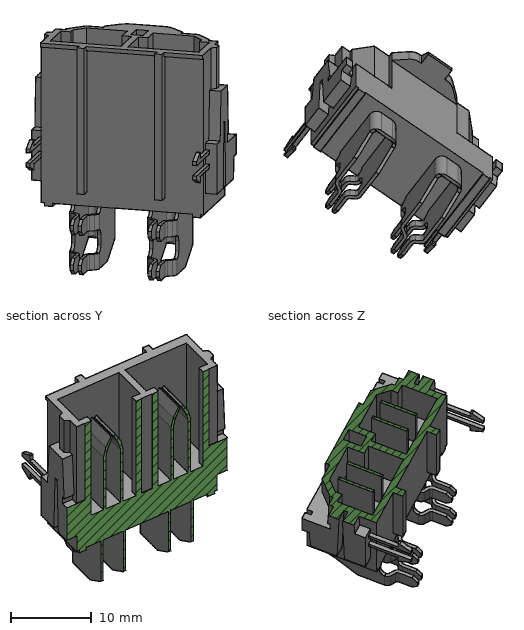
import cadquery as cq


body_half_width = 10.45
body_depth = 9.47
body_height = 20.53
overlap = 0.3

base_height = 7.95
shoulder_y = 6.52
shoulder_x = 9.2
key_chamfer_y = 6.92
key_back_y = 8.9
key_chamfer = key_back_y - key_chamfer_y
neck_half_width = 4.98

pitch = 10.0
floor_z = 5.0
cavity_inner_x = 0.45
cavity_outer_x = 9.52
cavity_front_y = 0.95
cavity_step_y = 5.65
cavity_back_y = 7.95
cavity_key_inner_x = 1.65
cavity_key_outer_x = 8.27
cavity_chamfer = 1.37
pocket_width = 1.55

rim_depth = 0.4
rim_height = 0.51
rib_width = 0.95
rib_depth = 1.32
rib_bottom_z = 1.83
foot_width = 1.05
foot_height = 0.4
foot_inset = 0.4

flange_height = 2.72
flange_back_y = 11.3
flange_corner_x = 2.8
flange_radius = 2.0
hook_half_width = 1.8
hook_tip_y = 12.75
hook_tip_height = 0.8

ear_width = 23.82
ear_bottom_z = 2.55
ear_front_y = 0.83
ear_shoulder_z = 8.98
ear_top_z = 15.27
ear_top_front_y = 2.63
ear_top_back_y = 5.6
ear_taper = 0.37
ear_skirt_z = 5.4
ear_skirt_top_y = 8.47
ear_skirt_bottom_y = 8.27
ear_slot_top_z = 10.93
ear_slot_middle_y = 4.18
ear_slot_top_width = 0.45
ear_slot_bottom_width = 1.0

bump_height = 0.63
bump_root_y = (3.3, 5.03)
bump_crest_y = (3.65, 4.7)

clip_thickness = 0.51
clip_mid_z = 6.98
clip_gap = 1.32
clip_arm = 0.51
clip_tip_y = -4.9
barb_back_y = -3.15
barb_crest = 0.25
barb_height = 0.75
clip_notch_depth = 0.8

sheet = 0.43
channel_half_width = 1.9
channel_back_y = 8.47
channel_corner_radius = 0.83
jog_radius = 0.63
prong_offset = 0.51
jog_start_y = 0.17
jog_end_y = -0.55
prong_root_y = 0.51
prong_tip_y = -3.43
prong_height = 2.03
prong_bevel_length = 0.72
prong_bevel_height = 0.65
prong_top_z = -1.0
total_height = 28.6
terminal_bottom_z = body_height - total_height
gap_y = 1.23
gap_radius = 0.85
channel_bottom_z = -6.1
back_wall_bottom_z = -6.3
side_bottom_y = 4.2
side_back_y = 7.45

leaf_front_y = 2.25
leaf_back_y = 7.05
leaf_base_x = 1.5
leaf_base_z = 13.67
leaf_shoulder_x = 1.15
leaf_shoulder_z = 15.1
leaf_tip_x = 0.35
leaf_tip_z = 16.53
leaf_tip_width = 0.3
leaf_tip_drop = 0.2


def prism_z(points, bottom, top):
    """Upright prism from an XY outline."""
    return cq.Workplane("XY").workplane(offset=bottom).polyline(points).close().extrude(top - bottom)


def prism_x(points, x_start, x_end):
    """Prism along X from a YZ outline."""
    return cq.Workplane("YZ").workplane(offset=x_start).polyline(points).close().extrude(x_end - x_start)


def box(x_range, y_range, z_range):
    """Block between two corners."""
    size = [end - start for start, end in (x_range, y_range, z_range)]
    corner = (x_range[0], y_range[0], z_range[0])
    return cq.Workplane("XY").box(*size, centered=False).translate(corner)


def both_sides(shape):
    """The shape together with its mirror image in X = 0."""
    return shape.union(shape.mirror("YZ"))


def housing_block():
    base = box((-body_half_width, body_half_width), (0, body_depth), (0, base_height))
    half_outline = [
        (body_half_width, 0),
        (body_half_width, shoulder_y),
        (shoulder_x, shoulder_y),
        (shoulder_x, key_chamfer_y),
        (shoulder_x - key_chamfer, key_back_y),
        (neck_half_width, key_back_y),
        (neck_half_width, body_depth),
    ]
    outline = half_outline + [(-x, y) for x, y in reversed(half_outline)]
    return base.union(prism_z(outline, base_height, body_height))


def latch():
    bottom = body_height - flange_height
    half_outline = [
        (neck_half_width, body_depth - overlap),
        (neck_half_width, body_depth),
        (flange_corner_x, flange_back_y),
    ]
    outline = half_outline + [(-x, y) for x, y in reversed(half_outline)]
    flange = prism_z(outline, bottom, body_height)
    flange = flange.edges("|Z").edges(">Y").fillet(flange_radius)
    hook_profile = [
        (body_depth, bottom),
        (hook_tip_y, bottom),
        (hook_tip_y, bottom + hook_tip_height),
        (flange_back_y, body_height),
        (body_depth, body_height),
    ]
    return flange.union(prism_x(hook_profile, -hook_half_width, hook_half_width))


def front_details():
    rim = box(
        (-body_half_width, body_half_width),
        (-rim_depth, overlap),
        (body_height - rim_height, body_height),
    )
    rib = box(
        ((pitch - rib_width) / 2, (pitch + rib_width) / 2),
        (-rib_depth, overlap),
        (rib_bottom_z, body_height),
    )
    foot_outer_x = body_half_width - foot_inset
    foot = box((foot_outer_x - foot_width, foot_outer_x), (0, body_depth), (-foot_height, overlap))
    return rim.union(both_sides(rib.union(foot)))


def ear():
    profile = [
        (body_depth, base_height),
        (ear_top_back_y, base_height),
        (ear_top_back_y, ear_shoulder_z),
        (ear_top_back_y + ear_taper, ear_shoulder_z),
        (ear_top_back_y, ear_top_z),
        (ear_top_front_y, ear_top_z),
        (ear_top_front_y - ear_taper, ear_shoulder_z),
        (ear_front_y, ear_shoulder_z),
        (ear_front_y, ear_bottom_z),
        (ear_slot_middle_y - ear_slot_bottom_width / 2, ear_bottom_z),
        (ear_slot_middle_y - ear_slot_top_width / 2, ear_slot_top_z),
        (ear_slot_middle_y + ear_slot_top_width / 2, ear_slot_top_z),
        (ear_slot_middle_y + ear_slot_bottom_width / 2, ear_bottom_z),
        (ear_skirt_bottom_y, ear_bottom_z),
        (ear_skirt_top_y, ear_skirt_z),
        (body_depth, ear_skirt_z),
    ]
    notch = box(
        (body_half_width, body_half_width + clip_thickness),
        (body_depth - clip_notch_depth, body_depth),
        (0, base_height),
    )
    return prism_x(profile, body_half_width - overlap, ear_width / 2).cut(notch)


def key_bump():
    outer_x = body_half_width + bump_height
    outline = [
        (body_half_width - overlap, bump_root_y[0]),
        (body_half_width, bump_root_y[0]),
        (outer_x, bump_crest_y[0]),
        (outer_x, bump_crest_y[1]),
        (body_half_width, bump_root_y[1]),
        (body_half_width - overlap, bump_root_y[1]),
    ]
    return prism_z(outline, ear_slot_top_z, body_height)


def board_clips():
    inner_z = clip_gap / 2
    outer_z = inner_z + clip_arm
    barb_z = outer_z + barb_height
    profile = [
        (ear_front_y + overlap, inner_z),
        (clip_tip_y, inner_z),
        (clip_tip_y, outer_z),
        (barb_back_y - barb_crest, barb_z),
        (barb_back_y, barb_z),
        (barb_back_y, outer_z),
        (ear_front_y + overlap, outer_z),
    ]
    arm = prism_x(profile, body_half_width, body_half_width + clip_thickness)
    return arm.union(arm.mirror("XY")).translate((0, 0, clip_mid_z))


def cavity():
    """Keyed contact cavity on the +X side, narrowed towards the back."""
    outline = [
        (cavity_inner_x, cavity_front_y),
        (cavity_outer_x, cavity_front_y),
        (cavity_outer_x, cavity_step_y),
        (cavity_key_outer_x, cavity_step_y),
        (cavity_key_outer_x, cavity_back_y - cavity_chamfer),
        (cavity_key_outer_x - cavity_chamfer, cavity_back_y),
        (cavity_key_inner_x, cavity_back_y),
        (cavity_key_inner_x, cavity_step_y),
        (cavity_inner_x, cavity_step_y),
    ]
    return prism_z(outline, floor_z, body_height)


def centre_pocket():
    half = pocket_width / 2
    return box((-half, half), (shoulder_y, key_back_y), (floor_z, body_height))


def contact_leaves():
    """Two spring leaves that lean together towards their tips."""
    outer_face = [
        (leaf_base_x, floor_z - overlap),
        (leaf_base_x, leaf_base_z),
        (leaf_shoulder_x, leaf_shoulder_z),
        (leaf_tip_x, leaf_tip_z),
    ]
    inner_face = [
        (leaf_tip_x - leaf_tip_width, leaf_tip_z - leaf_tip_drop),
        (leaf_shoulder_x - sheet, leaf_shoulder_z - leaf_tip_drop),
        (leaf_base_x - sheet, leaf_base_z),
        (leaf_base_x - sheet, floor_z - overlap),
    ]
    profile = outer_face + inner_face
    leaf = cq.Workplane("XZ", origin=(0, leaf_back_y, 0)).polyline(profile).close()
    return both_sides(leaf.extrude(leaf_back_y - leaf_front_y))


def bent_sheet():
    """U channel seen along Z, its sides jogging inwards to the prongs."""
    side_x = channel_half_width - sheet / 2
    corner_y = channel_back_y - sheet / 2
    half_path = [
        (prong_offset, prong_tip_y - overlap),
        (prong_offset, jog_end_y),
        (side_x, jog_start_y),
        (side_x, corner_y),
    ]
    path = half_path + [(-x, y) for x, y in reversed(half_path)]
    middle = cq.Wire.makePolygon([cq.Vector(x, y, terminal_bottom_z) for x, y in path])
    corners = [vertex for vertex in middle.Vertices() if vertex.Y > side_back_y]
    middle = middle.fillet(channel_corner_radius, corners)
    jogs = [vertex for vertex in middle.Vertices() if prong_tip_y < vertex.Y < gap_y]
    middle = middle.fillet(jog_radius, jogs)
    outline = middle.offset2D(sheet / 2)[0]
    return cq.Workplane("XY").add(outline).toPending().extrude(overlap - terminal_bottom_z)


def prong_blank(bottom):
    """Side outline of one prong, bevelled at its tip and running back into the channel."""
    top = bottom + prong_height
    bevel_y = prong_tip_y + prong_bevel_length
    outline = [
        (gap_y + overlap, bottom),
        (bevel_y, bottom),
        (prong_tip_y, bottom + prong_bevel_height),
        (prong_tip_y, top - prong_bevel_height),
        (bevel_y, top),
        (gap_y + overlap, top),
    ]
    return prism_x(outline, -channel_half_width, channel_half_width)


def terminal_side_outline():
    """Side outline of a terminal, as a prism across its full width."""
    upper_bottom_z = prong_top_z - prong_height
    lower_top_z = terminal_bottom_z + prong_height
    x_range = (-channel_half_width, channel_half_width)
    plate_profile = [
        (prong_root_y, overlap),
        (prong_root_y, terminal_bottom_z),
        (side_bottom_y, terminal_bottom_z),
        (side_back_y, channel_bottom_z),
        (channel_back_y, channel_bottom_z),
        (channel_back_y, overlap),
    ]
    sides = prism_x(plate_profile, *x_range)
    gap_y_range = (prong_root_y - overlap, gap_y)
    gap = box(x_range, gap_y_range, (lower_top_z, upper_bottom_z))
    gap = gap.edges("|X and >Y").fillet(gap_radius)
    top_gap = box(x_range, gap_y_range, (prong_top_z, 2 * overlap))
    top_gap = top_gap.edges("|X and >Y and <Z").fillet(gap_radius)
    back_lip = box(x_range, (channel_back_y - sheet, channel_back_y), (back_wall_bottom_z, 0))
    outline = sides.union(back_lip)
    for bottom in (terminal_bottom_z, upper_bottom_z):
        outline = outline.union(prong_blank(bottom))
    return outline.cut(gap).cut(top_gap)


def terminal():
    return bent_sheet().intersect(terminal_side_outline()).union(contact_leaves())


housing = housing_block().union(latch()).union(front_details())
housing = housing.union(both_sides(ear().union(key_bump()).union(board_clips())))
housing = housing.cut(both_sides(cavity())).cut(centre_pocket())

result = housing
for terminal_x in (-pitch / 2, pitch / 2):
    result = result.union(terminal().translate((terminal_x, 0, 0)))